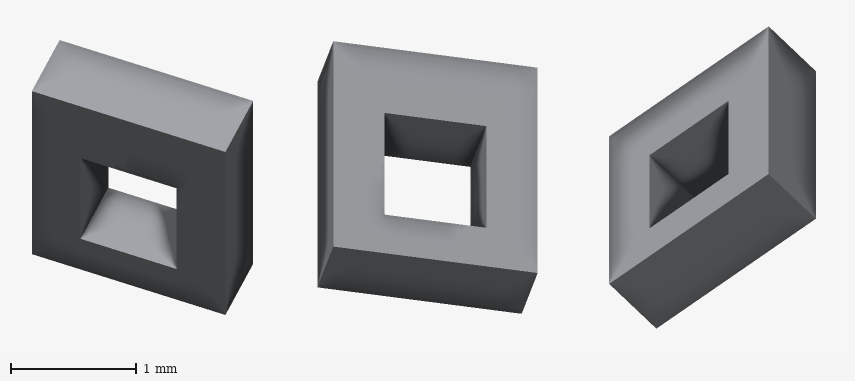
import cadquery as cq

width = 1.67
depth = 0.58
height = 2.0

window_width = 0.83
window_height = 0.99
window_bottom = 0.375
window_center_z = window_bottom + window_height / 2

block = cq.Workplane("XY").box(width, depth, height, centered=(True, True, False))

window = (
    cq.Workplane("XY")
    .box(window_width, depth, window_height)
    .translate((0, 0, window_center_z))
)

result = block.cut(window)